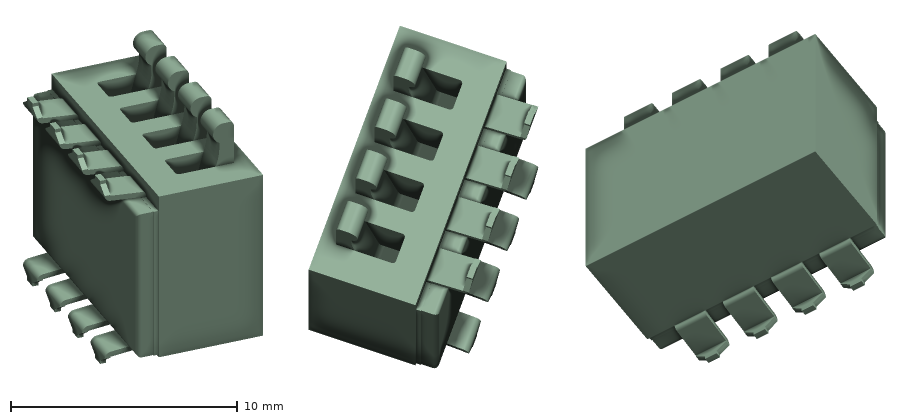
import cadquery as cq
import math


HOUSING_WIDTH = 12.1
HOUSING_DEPTH = 5.01
HOUSING_TOP = 4.4
HOUSING_HEIGHT = 8.14

FLANGE_HEIGHT = 7.28
FLANGE_WIDTH = 11.95
FLANGE_DEPTH = 0.23
BASE_HEIGHT = 7.26
BASE_WIDTH = 11.88
BASE_DEPTH = 1.0
BASE_ROUND = 0.22

POSITION_COUNT = 4
PITCH = 2.54

SLOT_WIDTH = 1.45
SLOT_FRONT = 1.5
SLOT_BACK = 4.26
SLOT_DEPTH = 2.49
SLOT_CORNER = 0.16

LEVER_WIDTH = 1.42
LEVER_RISE = 2.1
LEVER_BACK_ROUND = 0.23
KNOB_RADIUS = 0.5
KNOB_CENTER_Y = 3.75
NECK_FRONT = 3.56
NECK_BEND_TOP = 1.2
NECK_BEND_RADIUS = 2.36
NECK_SLOPE = math.radians(15.6)
LEVER_FOOT_ROUND = 0.28

TERMINAL_WIDTH = 1.6
TERMINAL_ROOT = 0.23
TERMINAL_RISE = 0.28
TERMINAL_ARM = 0.25
TERMINAL_SLOPE = math.radians(5.3)
TERMINAL_REACH = 2.0
TERMINAL_FOOT = 0.28
TERMINAL_TIP = 4.63
TERMINAL_ROOT_ROUND = 0.22
TERMINAL_FOOT_ROUND = 0.31
TIP_WIDTH = 0.6
TIP_LENGTH = 0.17
TAPER_LENGTH = 0.34

LEVER_TOP = HOUSING_TOP + LEVER_RISE
SLOT_FLOOR = HOUSING_TOP - SLOT_DEPTH
POSITIONS = [(i - (POSITION_COUNT - 1) / 2) * PITCH for i in range(POSITION_COUNT)]


def box(width, y_min, y_max, z_min, z_max):
    """Block centred on X = 0 between the given Y and Z limits."""
    size = (width, y_max - y_min, z_max - z_min)
    return cq.Workplane("XY").box(*size).translate((0, (y_min + y_max) / 2, (z_min + z_max) / 2))


def make_base():
    flange = box(FLANGE_WIDTH, -FLANGE_DEPTH, 0, -FLANGE_HEIGHT / 2, FLANGE_HEIGHT / 2)
    block = box(BASE_WIDTH, -BASE_DEPTH, 0, -BASE_HEIGHT / 2, BASE_HEIGHT / 2)
    return flange.union(block.faces("<Y").edges().fillet(BASE_ROUND))


def make_slot():
    slot = box(SLOT_WIDTH, SLOT_FRONT, SLOT_BACK, SLOT_FLOOR, HOUSING_TOP)
    return slot.faces("<Y").edges("|Z").fillet(SLOT_CORNER)


def make_lever():
    """Lever with a rounded knob, a curved neck and a sloping front that runs to the slot floor."""
    knob_z = LEVER_TOP - KNOB_RADIUS
    knob_end_z = knob_z - math.sqrt(KNOB_RADIUS**2 - (KNOB_CENTER_Y - NECK_FRONT) ** 2)

    bend_top_z = LEVER_TOP - NECK_BEND_TOP
    bend_center_y = NECK_FRONT - NECK_BEND_RADIUS

    def bend_point(angle):
        y = bend_center_y + NECK_BEND_RADIUS * math.cos(angle)
        return (y, bend_top_z - NECK_BEND_RADIUS * math.sin(angle))

    bend_end = bend_point(NECK_SLOPE)
    foot_y = bend_end[0] - (bend_end[1] - SLOT_FLOOR) * math.tan(NECK_SLOPE)
    turn = math.pi / 2 - NECK_SLOPE
    tangent = LEVER_FOOT_ROUND * math.tan(turn / 2)
    round_start = (foot_y + tangent * math.sin(NECK_SLOPE), SLOT_FLOOR + tangent * math.cos(NECK_SLOPE))

    profile = (
        cq.Workplane("YZ")
        .moveTo(SLOT_BACK, SLOT_FLOOR)
        .lineTo(SLOT_BACK, LEVER_TOP - LEVER_BACK_ROUND)
        .tangentArcPoint((SLOT_BACK - LEVER_BACK_ROUND, LEVER_TOP), relative=False)
        .lineTo(KNOB_CENTER_Y, LEVER_TOP)
        .threePointArc((KNOB_CENTER_Y - KNOB_RADIUS, knob_z), (NECK_FRONT, knob_end_z))
        .lineTo(NECK_FRONT, bend_top_z)
        .threePointArc(bend_point(NECK_SLOPE / 2), bend_end)
        .lineTo(*round_start)
        .tangentArcPoint((foot_y - tangent, SLOT_FLOOR), relative=False)
        .close()
    )
    return profile.extrude(LEVER_WIDTH / 2, both=True)


def make_terminal():
    """Upper gull-wing terminal: root on the flange, sloping arm and an upright tapered foot."""
    flange_top = FLANGE_HEIGHT / 2
    outer_z = flange_top + TERMINAL_RISE
    inner_z = outer_z - TERMINAL_ARM
    slope = math.tan(TERMINAL_SLOPE)
    foot_inner_y = TERMINAL_FOOT - TERMINAL_REACH
    foot_corner = (-TERMINAL_REACH, inner_z + TERMINAL_REACH * slope)
    outline = [
        (0, flange_top - TERMINAL_ROOT),
        (0, outer_z),
        (foot_inner_y, outer_z - foot_inner_y * slope),
        (foot_inner_y, TERMINAL_TIP),
        (-TERMINAL_REACH, TERMINAL_TIP),
        foot_corner,
        (-TERMINAL_ROOT, inner_z + TERMINAL_ROOT * slope),
        (-TERMINAL_ROOT, flange_top - TERMINAL_ROOT),
    ]
    strip = cq.Workplane("YZ").polyline(outline).close().extrude(TERMINAL_WIDTH / 2, both=True)
    strip = strip.edges(cq.NearestToPointSelector((0, 0, outer_z))).fillet(TERMINAL_ROOT_ROUND)
    strip = strip.edges(cq.NearestToPointSelector((0, *foot_corner))).fillet(TERMINAL_FOOT_ROUND)

    half_width = TERMINAL_WIDTH / 2
    half_tip = TIP_WIDTH / 2
    neck_z = TERMINAL_TIP - TIP_LENGTH
    shoulder_z = neck_z - TAPER_LENGTH
    front_outline = [
        (-half_width, 0),
        (-half_width, shoulder_z),
        (-half_tip, neck_z),
        (-half_tip, TERMINAL_TIP),
        (half_tip, TERMINAL_TIP),
        (half_tip, neck_z),
        (half_width, shoulder_z),
        (half_width, 0),
    ]
    front = cq.Workplane("XZ").polyline(front_outline).close().extrude(TERMINAL_REACH)
    return strip.intersect(front)


housing = box(HOUSING_WIDTH, 0, HOUSING_DEPTH, HOUSING_TOP - HOUSING_HEIGHT, HOUSING_TOP)
result = housing.union(make_base())

slot = make_slot()
lever = make_lever()
upper_terminal = make_terminal()
lower_terminal = upper_terminal.mirror("XY")

for x in POSITIONS:
    result = result.cut(slot.translate((x, 0, 0)))
    for piece in (lever, upper_terminal, lower_terminal):
        result = result.union(piece.translate((x, 0, 0)))